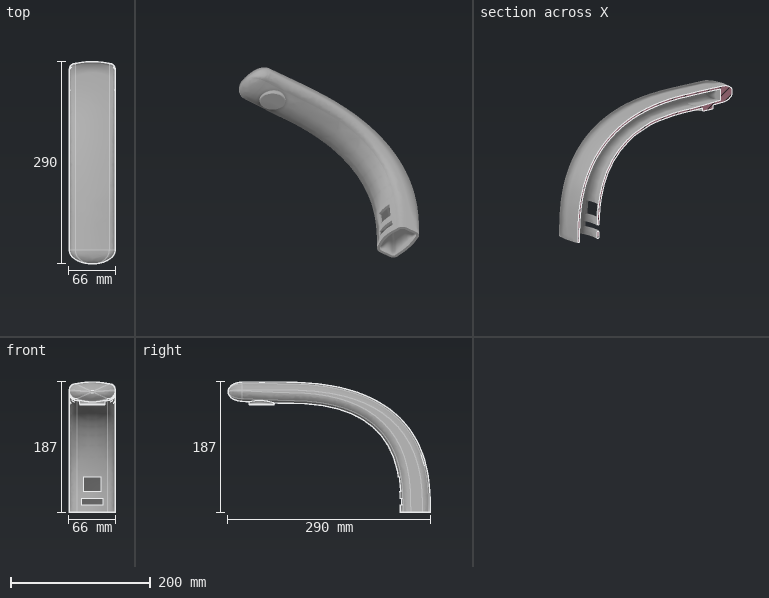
import cadquery as cq
import math

base_back_y = 145.0
nose_tip_y = -145.0
bend_center_y = -78.3
outer_exponent = 2.6
inner_exponent = 2.8
outer_height = 187.0
inner_height = 156.7
base_depth = 43.5
outer_reach = base_back_y - bend_center_y
inner_reach = outer_reach - base_depth
bend_steps = 12
straight_steps = 3

nose_start_y = -125.0
nose_length = nose_start_y - nose_tip_y
spout_end_bottom = 159.0
nose_steps = 6
nose_end_angle = 83.0

half_width = 33.0
outer_shoulder_radius = 8.7
outer_crown_rise = 2.5
inner_shoulder_radius = 11.3
inner_crown_rise = 4.0
wall = 4.4

outlet_diameter = 36.8
outlet_y = -97.0
outlet_bottom = 154.3
outlet_top = 162.5
outlet_chamfer = 1.0

windows = [(25.5, 30.2, 50.5), (30.8, 11.0, 19.7)]
window_back_y = 121.9
window_front_y = 87.0


def section_wire(outer, inner, inset=0.0, scale=1.0):
    """Crowned, round-shouldered section between an outer and an inner (y, z) point."""
    dy = outer[0] - inner[0]
    dz = outer[1] - inner[1]
    depth = math.hypot(dy, dz)
    middle = ((outer[0] + inner[0]) / 2, (outer[1] + inner[1]) / 2)
    outward = (dy / depth, dz / depth)

    def place(x, height):
        return cq.Vector(
            x * scale,
            middle[0] + height * scale * outward[0],
            middle[1] + height * scale * outward[1],
        )

    def shoulder(side, crown_x, crown_height, side_height):
        quarter = math.sqrt(0.5)
        x = crown_x + quarter * (side_x - crown_x)
        height = side_height + quarter * (crown_height - side_height)
        return cq.Edge.makeThreePointArc(
            place(side * crown_x, crown_height),
            place(side * x, height),
            place(side * side_x, side_height),
        )

    side_x = half_width - inset
    top = depth / 2 - inset
    bottom = -top
    outer_radius = outer_shoulder_radius - inset
    inner_radius = inner_shoulder_radius - inset
    outer_x = side_x - outer_radius
    inner_x = side_x - inner_radius
    outer_edge = top - outer_crown_rise
    inner_edge = bottom + inner_crown_rise
    side_top = outer_edge - outer_radius
    side_bottom = inner_edge + inner_radius
    edges = [
        cq.Edge.makeThreePointArc(place(-outer_x, outer_edge), place(0, top), place(outer_x, outer_edge)),
        shoulder(1, outer_x, outer_edge, side_top),
        cq.Edge.makeLine(place(side_x, side_top), place(side_x, side_bottom)),
        shoulder(1, inner_x, inner_edge, side_bottom),
        cq.Edge.makeThreePointArc(place(inner_x, inner_edge), place(0, bottom), place(-inner_x, inner_edge)),
        shoulder(-1, inner_x, inner_edge, side_bottom),
        cq.Edge.makeLine(place(-side_x, side_bottom), place(-side_x, side_top)),
        shoulder(-1, outer_x, outer_edge, side_top),
    ]
    return cq.Wire.assembleEdges(edges)


def bend_point(reach, height, exponent, angle):
    power = 2 / exponent
    y = bend_center_y + reach * max(math.cos(angle), 0.0) ** power
    return (y, height * math.sin(angle) ** power)


def spout_body(inset, end_y):
    """Curved tube from the base through the bend to the end of the spout."""
    sections = []
    for step in range(bend_steps + 1):
        angle = math.pi / 2 * step / bend_steps
        outer = bend_point(outer_reach, outer_height, outer_exponent, angle)
        inner = bend_point(inner_reach, inner_height, inner_exponent, angle)
        sections.append(section_wire(outer, inner, inset))
    for step in range(1, straight_steps + 1):
        fraction = step / straight_steps
        y = bend_center_y + fraction * (end_y - bend_center_y)
        bottom = inner_height + fraction * (spout_end_bottom - inner_height)
        sections.append(section_wire((y, outer_height), (y, bottom), inset))
    return cq.Workplane(cq.Solid.makeLoft(sections))


def nose():
    """Ellipsoidal end made of shrinking copies of the spout section."""
    sections = []
    for step in range(nose_steps + 1):
        angle = math.radians(nose_end_angle) * step / nose_steps
        y = nose_start_y - nose_length * math.sin(angle) / math.sin(math.radians(nose_end_angle))
        sections.append(section_wire((y, outer_height), (y, spout_end_bottom), scale=math.cos(angle)))
    return cq.Workplane(cq.Solid.makeLoft(sections))


def outlet():
    return (
        cq.Workplane("XY", origin=(0, outlet_y, outlet_bottom))
        .circle(outlet_diameter / 2)
        .extrude(outlet_top - outlet_bottom)
        .faces("<Z")
        .chamfer(outlet_chamfer)
    )


def window(width, bottom, top):
    return cq.Workplane("XY").box(
        width, window_back_y - window_front_y, top - bottom, centered=(True, False, False)
    ).translate((0, window_front_y, bottom))


result = spout_body(0.0, nose_start_y).union(nose())
result = result.cut(spout_body(wall, nose_start_y + wall))
result = result.union(outlet())
for width, bottom, top in windows:
    result = result.cut(window(width, bottom, top))